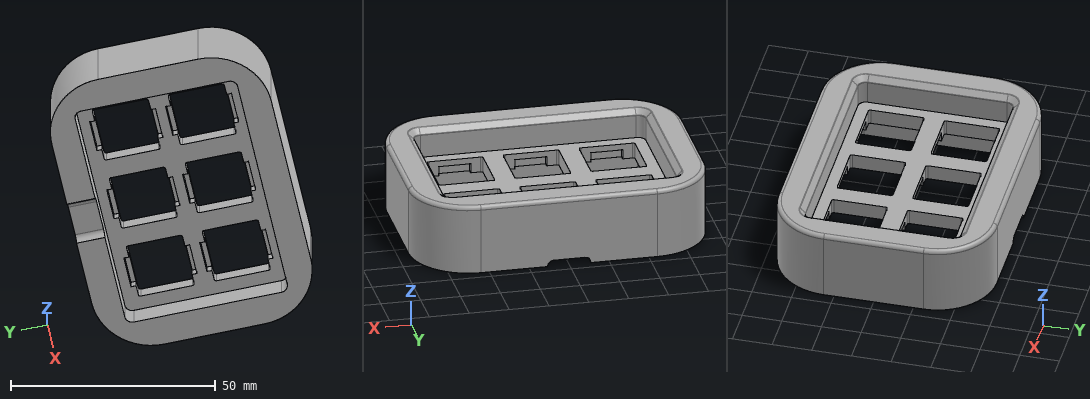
import cadquery as cq

length = 74.15
width = 55.1
height = 17.95
corner_radius = 15.0
top_edge_radius = 1.05

plate_top = 10.45
plate_thickness = 4.0
plate_bottom = plate_top - plate_thickness

recess_length = 58.1
recess_width = 39.1
recess_corner_radius = 2.0
bevel_size = 1.5
bevel_edge_radius = 0.2

cavity_length = 59.0
cavity_width = 40.8
cavity_corner_radius = 1.85

columns = 3
rows = 2
pitch = 19.05
hole_size = 14.0
hole_corner_radius = 0.5

notch_length = 8.0
notch_depth = 1.25
notch_lip = 1.55

port_length = 10.8
port_height = 3.1

tolerance = 0.01


def rounded_block(size_x, size_y, z_bottom, z_top, radius):
    """Upright block centred on the Z axis with rounded vertical edges."""
    block = cq.Workplane("XY", origin=(0, 0, z_bottom)).rect(size_x, size_y).extrude(z_top - z_bottom)
    return block.edges("|Z").fillet(radius)


def inner_edges_from(z):
    """Selector for edges around the recess, no lower than z and clear of the outer rounding."""
    reach_x = length / 2 - 2 * top_edge_radius
    reach_y = width / 2 - 2 * top_edge_radius
    return cq.selectors.BoxSelector(
        (-reach_x, -reach_y, z - tolerance), (reach_x, reach_y, height + tolerance), boundingbox=True
    )


def make_shell():
    """Case body with the upper recess and its softened bevel, before the lower cuts."""
    shell = rounded_block(length, width, 0, height, corner_radius)
    shell = shell.faces(">Z").edges().fillet(top_edge_radius)
    shell = shell.cut(rounded_block(recess_length, recess_width, plate_top, height, recess_corner_radius))
    shell = shell.faces(">Z").edges(inner_edges_from(height)).chamfer(bevel_size)
    bevel_edges = shell.edges(inner_edges_from(height - bevel_size)).edges("#Z")
    return bevel_edges.fillet(bevel_edge_radius)


def make_switch_holes():
    """Square holes through the plate, each with its pair of clip notches."""
    hole = rounded_block(hole_size, hole_size, plate_bottom, plate_top, hole_corner_radius)
    notches = (
        cq.Workplane("XY", origin=(0, 0, plate_bottom))
        .rect(notch_length, hole_size + 2 * notch_depth)
        .extrude(plate_thickness - notch_lip)
    )
    cutter = hole.union(notches).val()
    grid = cq.Workplane("XY").rarray(pitch, pitch, columns, rows)
    return grid.eachpoint(lambda location: cutter.moved(location))


def make_port():
    """Slot running from the case centre out through the +Y wall."""
    return cq.Workplane("XZ").slot2D(port_length, port_height).extrude(-width)


cavity = rounded_block(cavity_length, cavity_width, 0, plate_bottom, cavity_corner_radius)

result = make_shell().cut(cavity).cut(make_switch_holes()).cut(make_port())